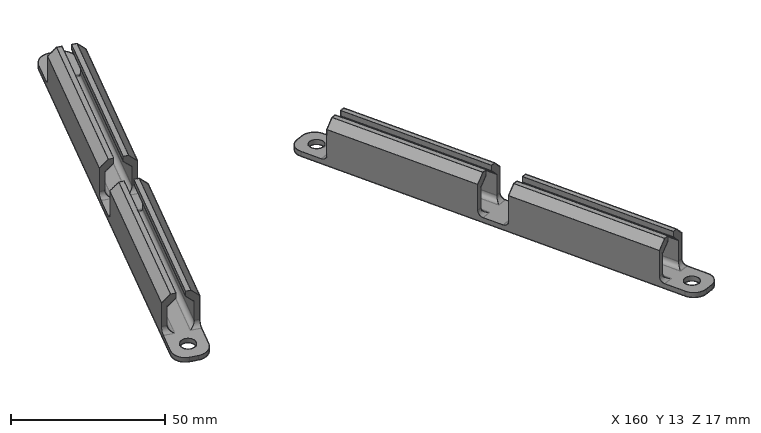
import cadquery as cq

length = 160.0
width = 13.0
height = 17.0

base_thickness = 2.0
corner_radius = 5.0
hole_diameter = 5.5
hole_inset = 6.7

tab_length = 15.0
rail_gap = 12.0
rail_length = (length - rail_gap) / 2 - tab_length
rail_offset = (rail_gap + rail_length) / 2
foot_radius = 2.0

wall_thickness = 2.0
outer_chamfer = 3.0
slot_width = 3.2
lip_height = 2.0
inner_half_width = width / 2 - wall_thickness
slope_drop = inner_half_width - slot_width / 2
shoulder_z = height - lip_height - slope_drop
channel_radius = 2.0


def make_base():
    """Flat strip with rounded corners and a mounting hole near each end."""
    strip = (
        cq.Workplane("XY")
        .rect(length, width)
        .extrude(base_thickness)
        .edges("|Z")
        .fillet(corner_radius)
    )
    hole_x = length / 2 - hole_inset
    holes = (
        cq.Workplane("XY")
        .pushPoints([(-hole_x, 0), (hole_x, 0)])
        .circle(hole_diameter / 2)
        .extrude(base_thickness)
    )
    return strip.cut(holes)


def make_channel_profile():
    """Slotted channel section swept along the whole length."""
    body = (
        cq.Workplane("XY")
        .box(length, width, height, centered=(True, True, False))
        .edges("|X and >Z")
        .chamfer(outer_chamfer)
    )
    half_slot = slot_width / 2
    lip_z = height - lip_height
    cavity = (
        cq.Workplane("YZ")
        .moveTo(-inner_half_width, base_thickness)
        .lineTo(inner_half_width, base_thickness)
        .lineTo(inner_half_width, shoulder_z)
        .lineTo(half_slot, lip_z)
        .lineTo(half_slot, height)
        .lineTo(-half_slot, height)
        .lineTo(-half_slot, lip_z)
        .lineTo(-inner_half_width, shoulder_z)
        .close()
        .extrude(length / 2, both=True)
        .edges("|X and <Z")
        .fillet(channel_radius)
    )
    return body.cut(cavity)


def make_rail_envelope(center_x):
    """Side outline of one rail, flaring out to the base through a fillet at each end."""
    half_rail = rail_length / 2
    half_foot = half_rail + foot_radius
    foot_top = base_thickness + foot_radius
    return (
        cq.Workplane("XZ")
        .center(center_x, 0)
        .moveTo(-half_foot, 0)
        .lineTo(half_foot, 0)
        .lineTo(half_foot, base_thickness)
        .radiusArc((half_rail, foot_top), foot_radius)
        .lineTo(half_rail, height)
        .lineTo(-half_rail, height)
        .lineTo(-half_rail, foot_top)
        .radiusArc((-half_foot, base_thickness), foot_radius)
        .close()
        .extrude(width / 2, both=True)
    )


result = make_base()
channel = make_channel_profile()
for rail_x in (-rail_offset, rail_offset):
    result = result.union(channel.intersect(make_rail_envelope(rail_x)))